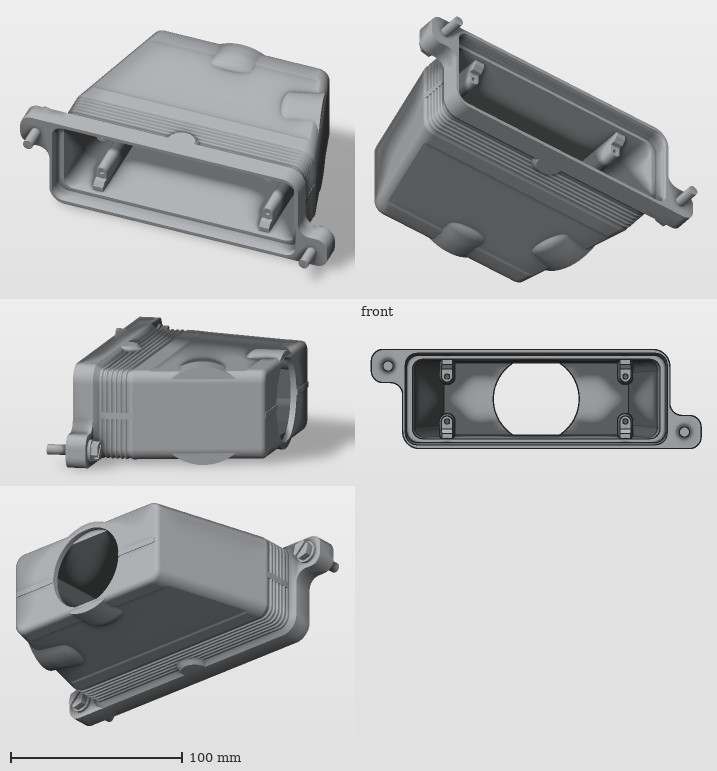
import cadquery as cq
import math


FLANGE_HALF_X = 78.0
FLANGE_HALF_Z = 29.0
FLANGE_THICKNESS = 12.0
FLANGE_CORNER_R = 10.0
LUG_REACH_X = 96.25
LUG_WIDTH_Z = 19.5
LUG_CORNER_R = 7.0

BODY_HALF_X = 75.0
BODY_HALF_Z = 26.4
BODY_CORNER_R = 7.0
SHOULDER_HEIGHT = 3.0
SLANT_START_Y = 35.3
TOP_Y = 109.5
TOP_HALF_X = 54.7
TOP_EDGE_R = 3.0
SLANT_ANGLE = math.degrees(math.atan((BODY_HALF_X - TOP_HALF_X) / (TOP_Y - SLANT_START_Y)))

PANEL_DEPTH = 0.5
PANEL_START_Y = 44.5
PANEL_END_Y = 97.2
PANEL_SLOPE_LENGTH = 1.7

GROOVE_COUNT = 6
GROOVE_PITCH = 2.9
FIRST_GROOVE_Y = 17.5
GROOVE_FLANK = 0.6
LAST_GROOVE_UPPER_FLANK = 1.9
GROOVE_FLOOR = 1.0
GROOVE_DEPTH = 0.7
SIDE_COLUMN_HALF_Z = 1.9

PAD_R = 8.0
PAD_FOOT_R = 11.0

BOSS_R = FLANGE_HALF_Z
BOSS_CROWN_LENGTH = 5.4
BOSS_CROWN_DROP = 2.95
BOSS_SETBACK = 0.5
TOP_BOSS_LENGTH = 22.4
SIDE_BOSS_LENGTH = 24.2
SIDE_BOSS_WALL_Y = 75.0
BORE_R = 25.0

RIDGE_HEIGHT = 0.5
RIDGE_HALF_Z = 1.6
RIDGE_HALF_X = 53.0

LEDGE_Y = 8.5
MOUTH_CORNER_R = 7.0
MOUTH_SECTIONS = [
    (0.0, 76.4, 26.7),
    (1.9, 76.1, 26.2),
    (6.2, 76.0, 26.1),
    (LEDGE_Y, 75.6, 25.5),
]

CAVITY_HALF_X = 72.2
CAVITY_HALF_Z = 23.2
CAVITY_CORNER_R = 6.0
CAVITY_KINK_Y = 40.0
CAVITY_KINK_HALF_X = 70.4
CAVITY_END_Y = 106.0
CAVITY_END_HALF_X = 53.8
CAVITY_END_HALF_Z = 21.1

POST_X = 52.0
POST_Z = 13.1
POST_TIP_R = 3.1
POST_DRAFT = 1.0
POST_TIP_Y = 11.5
POST_SEAT_Y = 17.0
POST_STEP_Z = 17.4
POST_RAMP = 2.7
POST_ROOT_Z = 24.0
POST_HOLE_R = 1.5
POST_HOLE_DEPTH = 10.0

BOLT_X = 86.4
BOLT_Z = FLANGE_HALF_Z - LUG_WIDTH_Z / 2
BOLT_SHANK_R = 3.0
BOLT_REACH = 13.0
BOLT_COLLAR_R = 6.6
BOLT_COLLAR_HEIGHT = 1.8
BOLT_HEAD_HEIGHT = 6.0
BOLT_HEX_FLATS = 10.0
BOLT_TURN = -45.0
BOLT_SLOT_WIDTH = 1.6
BOLT_SLOT_DEPTH = 2.4

OVERLAP = 1.0


def plane_at(y):
    """Workplane at height y; extruding by a negative distance goes toward +Y."""
    return cq.Workplane("XZ", origin=(0, y, 0))


def rounded_rect(half_x, half_z, radius):
    return cq.Sketch().rect(2 * half_x, 2 * half_z).vertices().fillet(radius)


def rounded_loft(start, end):
    """Loft between two (Y, half X, half Z, corner radius) rounded rectangles."""
    length = end[0] - start[0]
    far = rounded_rect(*end[1:]).moved(cq.Location(cq.Vector(0, 0, -length)))
    return plane_at(start[0]).placeSketch(rounded_rect(*start[1:]), far).loft(ruled=True)


def lofted_stack(sections):
    stack = rounded_loft(sections[0], sections[1])
    for start, end in zip(sections[1:], sections[2:]):
        stack = stack.union(rounded_loft(start, end))
    return stack


def make_flange():
    lug_inner_z = FLANGE_HALF_Z - LUG_WIDTH_Z
    half_outline = [
        (-FLANGE_HALF_X, -FLANGE_HALF_Z),
        (LUG_REACH_X, -FLANGE_HALF_Z),
        (LUG_REACH_X, -lug_inner_z),
        (FLANGE_HALF_X, -lug_inner_z),
    ]
    outline = half_outline + [(-x, -z) for x, z in half_outline]
    flange = plane_at(0).polyline(outline).close().extrude(-FLANGE_THICKNESS)
    for side in (-1, 1):
        inner_x = side * (FLANGE_HALF_X - OVERLAP)
        outer_x = side * (LUG_REACH_X + OVERLAP)
        lug_end_z = -side * (FLANGE_HALF_Z + OVERLAP)
        lug_corners = cq.selectors.BoxSelector(
            (inner_x, -OVERLAP, 0), (outer_x, FLANGE_THICKNESS + OVERLAP, lug_end_z)
        )
        plain_corner = cq.selectors.BoxSelector(
            (inner_x, -OVERLAP, 0), (outer_x, FLANGE_THICKNESS + OVERLAP, -lug_end_z)
        )
        flange = flange.edges("|Y").edges(lug_corners).fillet(LUG_CORNER_R)
        flange = flange.edges("|Y").edges(plain_corner).fillet(FLANGE_CORNER_R)
    return flange


def make_shoulder():
    return rounded_loft(
        (FLANGE_THICKNESS, FLANGE_HALF_X, FLANGE_HALF_Z, FLANGE_CORNER_R),
        (FLANGE_THICKNESS + SHOULDER_HEIGHT, BODY_HALF_X, BODY_HALF_Z, BODY_CORNER_R),
    )


def make_hood():
    right_outline = [(BODY_HALF_X, 0), (BODY_HALF_X, SLANT_START_Y), (TOP_HALF_X, TOP_Y)]
    outline = right_outline + [(-x, y) for x, y in reversed(right_outline)]
    hood = cq.Workplane("XY").polyline(outline).close().extrude(BODY_HALF_Z, both=True)
    hood = hood.edges("(not |X) and (not |Z)").fillet(BODY_CORNER_R)
    return hood.faces(">Y").edges().fillet(TOP_EDGE_R)


def panel_cutter(side):
    """Slab that sinks the broad face on one Z side, with sloped ends."""
    outer_z = BODY_HALF_Z + OVERLAP
    floor_z = BODY_HALF_Z - PANEL_DEPTH
    run_out = PANEL_SLOPE_LENGTH * (PANEL_DEPTH + OVERLAP) / PANEL_DEPTH
    profile = [
        (PANEL_START_Y, side * floor_z),
        (PANEL_END_Y, side * floor_z),
        (PANEL_END_Y + run_out, side * outer_z),
        (PANEL_START_Y - run_out, side * outer_z),
    ]
    return cq.Workplane("YZ").polyline(profile).close().extrude(BODY_HALF_X, both=True)


def groove_cutter(center_y, upper_flank):
    """Trapezoidal ring groove, interrupted by a plain column on both narrow sides."""
    floor_start = center_y - GROOVE_FLOOR / 2
    floor_end = center_y + GROOVE_FLOOR / 2
    rim_start = floor_start - GROOVE_FLANK
    rim_end = floor_end + upper_flank
    rim = (BODY_HALF_X, BODY_HALF_Z, BODY_CORNER_R)
    floor = tuple(size - GROOVE_DEPTH for size in rim)
    core = lofted_stack([
        (rim_start, *rim),
        (floor_start, *floor),
        (floor_end, *floor),
        (rim_end, *rim),
    ])
    ring = rounded_loft((rim_start, *rim), (rim_end, *rim)).cut(core)
    column = cq.Workplane("XY").box(
        2 * (BODY_HALF_X + OVERLAP), 2 * GROOVE_PITCH, 2 * SIDE_COLUMN_HALF_Z
    ).translate((0, center_y, 0))
    return ring.cut(column)


def make_pad(side):
    """Half-round pad that widens from the flange edge down to the broad face."""
    drop = PAD_FOOT_R - PAD_R
    pad = (
        cq.Workplane("XY", origin=(0, FLANGE_THICKNESS, FLANGE_HALF_Z - drop))
        .circle(PAD_FOOT_R)
        .workplane(offset=drop)
        .circle(PAD_R)
        .loft()
    )
    pad = pad.cut(plane_at(0).rect(4 * PAD_FOOT_R, 4 * FLANGE_HALF_Z).extrude(-FLANGE_THICKNESS))
    return pad if side > 0 else pad.mirror("XY")


def make_boss(end_point, outward_angle, length):
    """Round boss with a crowned inner end; outward_angle is measured from +X."""
    crown_r = (BOSS_CROWN_LENGTH**2 + BOSS_CROWN_DROP**2) / (2 * BOSS_CROWN_DROP)
    boss = (
        cq.Workplane("XY")
        .lineTo(0, BOSS_R)
        .lineTo(BOSS_CROWN_LENGTH - length, BOSS_R)
        .radiusArc((-length, BOSS_R - BOSS_CROWN_DROP), -crown_r)
        .lineTo(-length, 0)
        .close()
        .revolve(360, (0, 0, 0), (1, 0, 0))
    )
    return boss.rotate((0, 0, 0), (0, 0, 1), outward_angle).translate((*end_point, 0))


def make_cable_entries():
    wall_x = BODY_HALF_X - (SIDE_BOSS_WALL_Y - SLANT_START_Y) * math.tan(math.radians(SLANT_ANGLE))
    side_end = (
        wall_x - BOSS_SETBACK * math.cos(math.radians(SLANT_ANGLE)),
        SIDE_BOSS_WALL_Y - BOSS_SETBACK * math.sin(math.radians(SLANT_ANGLE)),
    )
    top_boss = make_boss((0, TOP_Y - BOSS_SETBACK), 90, TOP_BOSS_LENGTH)
    return top_boss.union(make_boss(side_end, SLANT_ANGLE, SIDE_BOSS_LENGTH))


def make_ridge():
    return plane_at(TOP_Y - OVERLAP).rect(2 * RIDGE_HALF_X, 2 * RIDGE_HALF_Z).extrude(-RIDGE_HEIGHT - OVERLAP)


def cavity_cutter():
    mouth = lofted_stack([(*section, MOUTH_CORNER_R) for section in MOUTH_SECTIONS])
    depth_share = (CAVITY_KINK_Y - LEDGE_Y) / (CAVITY_END_Y - LEDGE_Y)
    kink_half_z = CAVITY_HALF_Z - depth_share * (CAVITY_HALF_Z - CAVITY_END_HALF_Z)
    cavity = lofted_stack([
        (LEDGE_Y, CAVITY_HALF_X, CAVITY_HALF_Z, CAVITY_CORNER_R),
        (CAVITY_KINK_Y, CAVITY_KINK_HALF_X, kink_half_z, CAVITY_CORNER_R),
        (CAVITY_END_Y, CAVITY_END_HALF_X, CAVITY_END_HALF_Z, CAVITY_CORNER_R),
    ])
    return mouth.union(cavity)


def make_post(hood_blank):
    """Drafted insert post in the +X +Z quadrant, stepped at its tip and kept inside the hood."""
    height = CAVITY_END_Y + OVERLAP - POST_TIP_Y
    post = (
        plane_at(POST_TIP_Y)
        .moveTo(POST_X - POST_TIP_R, POST_ROOT_Z)
        .lineTo(POST_X - POST_TIP_R, POST_Z)
        .threePointArc((POST_X, POST_Z - POST_TIP_R), (POST_X + POST_TIP_R, POST_Z))
        .lineTo(POST_X + POST_TIP_R, POST_ROOT_Z)
        .close()
        .extrude(-height, taper=-POST_DRAFT)
    )
    step_profile = [
        (POST_TIP_Y - OVERLAP, 0),
        (POST_TIP_Y - OVERLAP, POST_STEP_Z + POST_RAMP + OVERLAP),
        (POST_TIP_Y + POST_RAMP, POST_STEP_Z),
        (POST_SEAT_Y, POST_STEP_Z),
        (POST_SEAT_Y, 0),
    ]
    step = cq.Workplane("YZ").polyline(step_profile).close().extrude(2 * POST_X)
    hole = plane_at(POST_SEAT_Y).center(POST_X, POST_Z).circle(POST_HOLE_R).extrude(-POST_HOLE_DEPTH)
    return post.cut(step).cut(hole).intersect(hood_blank)


def make_bolt():
    """Slotted hexagon flange bolt on the Y axis, seated on the back of the flange."""
    shank = plane_at(-BOLT_REACH).circle(BOLT_SHANK_R).extrude(-BOLT_REACH - FLANGE_THICKNESS)
    collar = plane_at(FLANGE_THICKNESS).circle(BOLT_COLLAR_R).extrude(-BOLT_COLLAR_HEIGHT)
    corner_diameter = BOLT_HEX_FLATS / math.cos(math.pi / 6)
    head = plane_at(FLANGE_THICKNESS).polygon(6, corner_diameter).extrude(-BOLT_HEAD_HEIGHT)
    head_top = FLANGE_THICKNESS + BOLT_HEAD_HEIGHT
    slot = plane_at(head_top - BOLT_SLOT_DEPTH).rect(BOLT_SLOT_WIDTH, 2 * BOLT_HEX_FLATS)
    slot = slot.extrude(-BOLT_SLOT_DEPTH - OVERLAP)
    bolt = shank.union(collar).union(head.cut(slot))
    return bolt.rotate((0, 0, 0), (0, 1, 0), BOLT_TURN)


hood_blank = make_hood()
hood = hood_blank
for side in (-1, 1):
    hood = hood.cut(panel_cutter(side))
for index in range(GROOVE_COUNT):
    is_last = index == GROOVE_COUNT - 1
    upper_flank = LAST_GROOVE_UPPER_FLANK if is_last else GROOVE_FLANK
    hood = hood.cut(groove_cutter(FIRST_GROOVE_Y + index * GROOVE_PITCH, upper_flank))

result = make_flange().union(make_shoulder()).union(hood)
for side in (-1, 1):
    result = result.union(make_pad(side))
result = result.union(make_cable_entries()).union(make_ridge()).cut(cavity_cutter())

post = make_post(hood_blank)
for post_pair in (post, post.mirror("XY")):
    result = result.union(post_pair).union(post_pair.mirror("YZ"))

bore_length = TOP_Y + RIDGE_HEIGHT - CAVITY_END_Y
result = result.cut(plane_at(CAVITY_END_Y).circle(BORE_R).extrude(-bore_length - OVERLAP))

bolt = make_bolt()
for side in (-1, 1):
    result = result.union(bolt.translate((side * BOLT_X, 0, -side * BOLT_Z)))